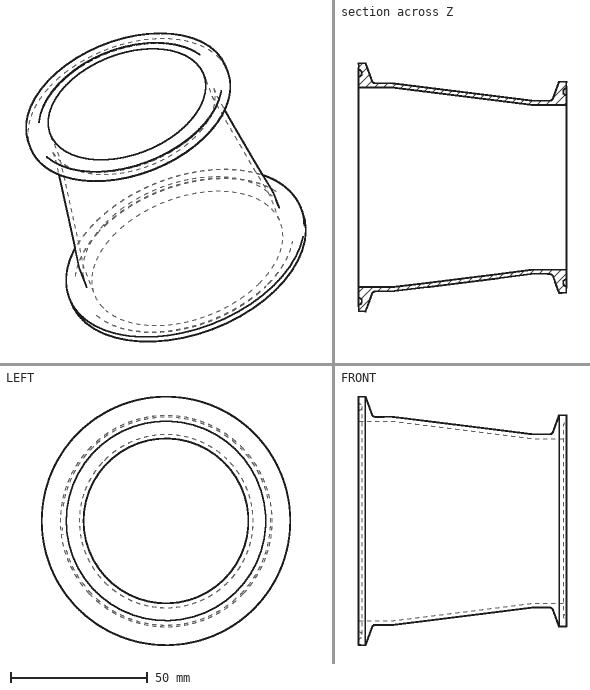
import cadquery as cq
import math

length = 76.2
wide_tube_diameter = 76.2
wide_bore_diameter = 72.9
narrow_tube_diameter = 63.5
narrow_bore_diameter = 60.2
straight_length = 12.55

wide_flange_diameter = 90.9
narrow_flange_diameter = 77.4
neck_distance = 5.4
rim_edge_fillet = 0.3
clamp_angle = 20.0
neck_fillet = 1.1

groove_inset = 3.7
groove_radius = 1.3
groove_lip_radius = 0.6
groove_wall_angle = 70.0


def revolve_about_x(outline):
    return outline.close().revolve(360, (0, 0, 0), (1, 0, 0))


def ring_at(x):
    """Selector for the circular edge in the plane across the axis at x."""
    margin = 0.1
    reach = wide_flange_diameter
    return cq.selectors.BoxSelector((x - margin, -reach, -reach), (x + margin, reach, reach))


def tapered_rod(wide_diameter, narrow_diameter):
    """Solid rod with two straight ends and a taper between them."""
    wide_radius = wide_diameter / 2
    narrow_radius = narrow_diameter / 2
    half_length = length / 2
    taper_end = half_length - straight_length
    outline = (
        cq.Workplane("XY")
        .moveTo(-half_length, 0)
        .lineTo(-half_length, wide_radius)
        .lineTo(-taper_end, wide_radius)
        .lineTo(taper_end, narrow_radius)
        .lineTo(half_length, narrow_radius)
        .lineTo(half_length, 0)
    )
    return revolve_about_x(outline)


def gasket_groove(centre_radius):
    """Ring of material to remove from a ferrule face at X = 0."""
    wall = math.radians(groove_wall_angle)
    depth = (groove_radius + groove_lip_radius) * (1 - math.cos(wall))
    floor_half_width = groove_radius * math.sin(wall)
    mouth_half_width = floor_half_width + groove_lip_radius * math.sin(wall)
    lip_depth = groove_lip_radius * (1 - math.cos(wall))
    lip_mid_depth = groove_lip_radius * (1 - math.cos(wall / 2))
    lip_mid_half_width = mouth_half_width - groove_lip_radius * math.sin(wall / 2)
    outline = (
        cq.Workplane("XY")
        .moveTo(0, centre_radius - mouth_half_width)
        .threePointArc(
            (lip_mid_depth, centre_radius - lip_mid_half_width),
            (lip_depth, centre_radius - floor_half_width),
        )
        .threePointArc((depth, centre_radius), (lip_depth, centre_radius + floor_half_width))
        .threePointArc(
            (lip_mid_depth, centre_radius + lip_mid_half_width),
            (0, centre_radius + mouth_half_width),
        )
    )
    return revolve_about_x(outline)


def ferrule(flange_diameter, tube_diameter):
    """Clamp flange with its face at X = 0 and its tube running toward +X."""
    flange_radius = flange_diameter / 2
    tube_radius = tube_diameter / 2
    slope_width = (flange_radius - tube_radius) * math.tan(math.radians(clamp_angle))
    rim_width = neck_distance - slope_width
    outline = (
        cq.Workplane("XY")
        .lineTo(0, flange_radius)
        .lineTo(rim_width, flange_radius)
        .lineTo(neck_distance, tube_radius)
        .lineTo(straight_length, tube_radius)
        .lineTo(straight_length, 0)
    )
    body = revolve_about_x(outline)
    body = body.edges(ring_at(neck_distance)).fillet(neck_fillet)
    body = body.edges(ring_at(0) + ring_at(rim_width)).fillet(rim_edge_fillet)
    return body.cut(gasket_groove(flange_radius - groove_inset))


wide_ferrule = ferrule(wide_flange_diameter, wide_tube_diameter).translate((-length / 2, 0, 0))
narrow_ferrule = (
    ferrule(narrow_flange_diameter, narrow_tube_diameter)
    .mirror("YZ")
    .translate((length / 2, 0, 0))
)
reducer = tapered_rod(wide_tube_diameter, narrow_tube_diameter)
bore = tapered_rod(wide_bore_diameter, narrow_bore_diameter)

result = reducer.union(wide_ferrule).union(narrow_ferrule).cut(bore)